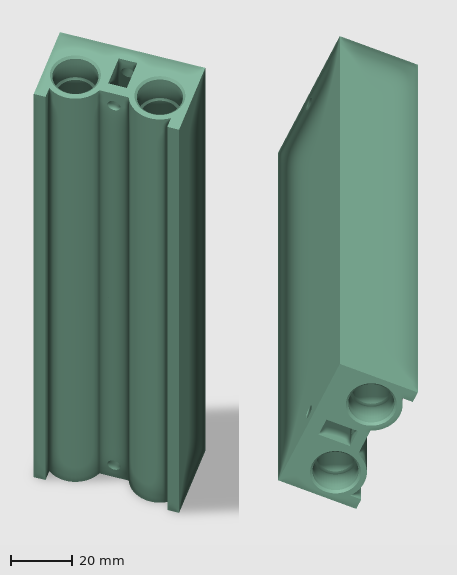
import cadquery as cq

length = 194.0
width = 50.0
depth = 28.0

leg_thickness = 4.0
web_depth = 19.8

bore_offset = 14.5
bore_depth = 16.0
lobe_radius = 10.3
bore_radius = 6.4

port_radius = 7.5
port_depth = 10.0
port_chamfer = 0.8

passage_width = 6.4
passage_height = 11.3
passage_back_wall = 4.8

mount_diameter = 4.5
mount_end_distance = 6.0

bore_axes = [(-bore_offset, -bore_depth), (bore_offset, -bore_depth)]


def extruded_body():
    """Block with the front relief cut out and the two bore lobes left standing."""
    block = cq.Workplane("XY").rect(width, depth).extrude(length).translate((0, -depth / 2, 0))
    relief_depth = depth - web_depth
    relief = (
        cq.Workplane("XY")
        .center(0, -depth + relief_depth / 2)
        .rect(width - 2 * leg_thickness, relief_depth)
        .extrude(length)
    )
    lobes = cq.Workplane("XY").pushPoints(bore_axes).circle(lobe_radius).extrude(length)
    return block.cut(relief).union(lobes.intersect(block))


def bore_cutter():
    """Through bore with a chamfered port at both ends, turned about its own axis."""
    mouth_radius = port_radius + port_chamfer
    half_profile = [
        (0, 0),
        (mouth_radius, 0),
        (port_radius, port_chamfer),
        (port_radius, port_depth),
        (bore_radius, port_depth),
        (bore_radius, length - port_depth),
        (port_radius, length - port_depth),
        (port_radius, length - port_chamfer),
        (mouth_radius, length),
        (0, length),
    ]
    return cq.Workplane("XZ").polyline(half_profile).close().revolve(360, (0, 0, 0), (0, 1, 0))


def passage_cutter():
    """Rectangular passage along the whole length."""
    middle = -passage_back_wall - passage_height / 2
    return cq.Workplane("XY").center(0, middle).rect(passage_width, passage_height).extrude(length)


def mount_cutter():
    """Two mounting holes, one near each end."""
    heights = [mount_end_distance, length - mount_end_distance]
    return (
        cq.Workplane("XZ")
        .pushPoints([(0, height) for height in heights])
        .circle(mount_diameter / 2)
        .extrude(depth)
    )


result = extruded_body()
for axis_x, axis_y in bore_axes:
    result = result.cut(bore_cutter().translate((axis_x, axis_y, 0)))
result = result.cut(passage_cutter()).cut(mount_cutter())